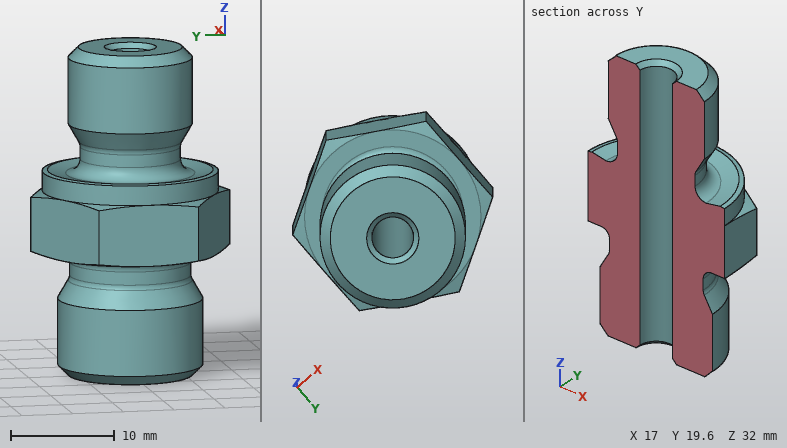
import cadquery as cq
import math

total_length = 32
thread_section_length = 12.0
hex_height = 6.0
across_flats = 17.0
hex_corner_slope = 15
bore_diameter = 4.0
bore_chamfer = 0.5

upper_thread_diameter = 12.0
upper_neck_diameter = 9.7
lower_thread_diameter = 14.0
lower_neck_diameter = 11.7
thread_length = 7.45
end_chamfer = 1.0
runout_angle = 30
runout_radius = 1.0

rim_chamfer_width = 0.5
rim_chamfer_height = 0.1
flange_recess = 0.32
upper_fillet = 1.38
lower_fillet = 1.0

hex_bottom = thread_section_length
hex_top = hex_bottom + hex_height
flange_top = total_length - thread_section_length


def threaded_end(thread_diameter, neck_diameter, fillet_radius, fillet_end):
    """Revolved end with its face at Z = 0 and its neck flaring out at Z = fillet_end."""
    thread_radius = thread_diameter / 2
    neck_radius = neck_diameter / 2
    angle = math.radians(runout_angle)

    blend_radius = neck_radius + runout_radius * (1 - math.cos(angle))
    blend_start = thread_length + (thread_radius - blend_radius) / math.tan(angle)
    blend_end = blend_start + runout_radius * math.sin(angle)
    fillet_start = fillet_end - fillet_radius

    return (
        cq.Workplane("XZ")
        .lineTo(thread_radius - end_chamfer, 0)
        .lineTo(thread_radius, end_chamfer)
        .lineTo(thread_radius, thread_length)
        .lineTo(blend_radius, blend_start)
        .tangentArcPoint((neck_radius, blend_end), relative=False)
        .lineTo(neck_radius, fillet_start)
        .tangentArcPoint((neck_radius + fillet_radius, fillet_end), relative=False)
        .lineTo(0, fillet_end)
        .close()
        .revolve(360, (0, 0, 0), (0, 1, 0))
    )


def hexagon():
    """Hexagon with corners on the Y axis, its corners trimmed by shallow cones."""
    flat_radius = across_flats / 2
    corner_radius = flat_radius / math.cos(math.radians(30))
    corner_drop = (corner_radius - flat_radius) * math.tan(math.radians(hex_corner_slope))
    prism = (
        cq.Workplane("XY")
        .workplane(offset=hex_bottom)
        .polygon(6, 2 * corner_radius)
        .extrude(hex_height)
        .rotate((0, 0, 0), (0, 0, 1), 30)
    )
    envelope = (
        cq.Workplane("XZ")
        .moveTo(0, hex_bottom)
        .lineTo(flat_radius, hex_bottom)
        .lineTo(corner_radius, hex_bottom + corner_drop)
        .lineTo(corner_radius, hex_top - corner_drop)
        .lineTo(flat_radius, hex_top)
        .lineTo(0, hex_top)
        .close()
        .revolve(360, (0, 0, 0), (0, 1, 0))
    )
    return prism.intersect(envelope)


def sealing_flange():
    """Round flange above the hexagon with a raised rim and a dished face."""
    flange_radius = across_flats / 2
    dish_radius = upper_neck_diameter / 2 + upper_fillet
    dish_bottom = flange_top - flange_recess
    return (
        cq.Workplane("XZ")
        .moveTo(0, hex_top)
        .lineTo(flange_radius, hex_top)
        .lineTo(flange_radius, flange_top - rim_chamfer_height)
        .lineTo(flange_radius - rim_chamfer_width, flange_top)
        .lineTo(dish_radius, dish_bottom)
        .lineTo(0, dish_bottom)
        .close()
        .revolve(360, (0, 0, 0), (0, 1, 0))
    )


def bore():
    """Through bore, chamfered at both ends."""
    bore_radius = bore_diameter / 2
    mouth_radius = bore_radius + bore_chamfer
    return (
        cq.Workplane("XZ")
        .lineTo(mouth_radius, 0)
        .lineTo(bore_radius, bore_chamfer)
        .lineTo(bore_radius, total_length - bore_chamfer)
        .lineTo(mouth_radius, total_length)
        .lineTo(0, total_length)
        .close()
        .revolve(360, (0, 0, 0), (0, 1, 0))
    )


lower_end = threaded_end(lower_thread_diameter, lower_neck_diameter, lower_fillet, thread_section_length)
upper_end = (
    threaded_end(
        upper_thread_diameter, upper_neck_diameter, upper_fillet, thread_section_length + flange_recess
    )
    .rotate((0, 0, 0), (1, 0, 0), 180)
    .translate((0, 0, total_length))
)

result = lower_end.union(hexagon()).union(sealing_flange()).union(upper_end).cut(bore())